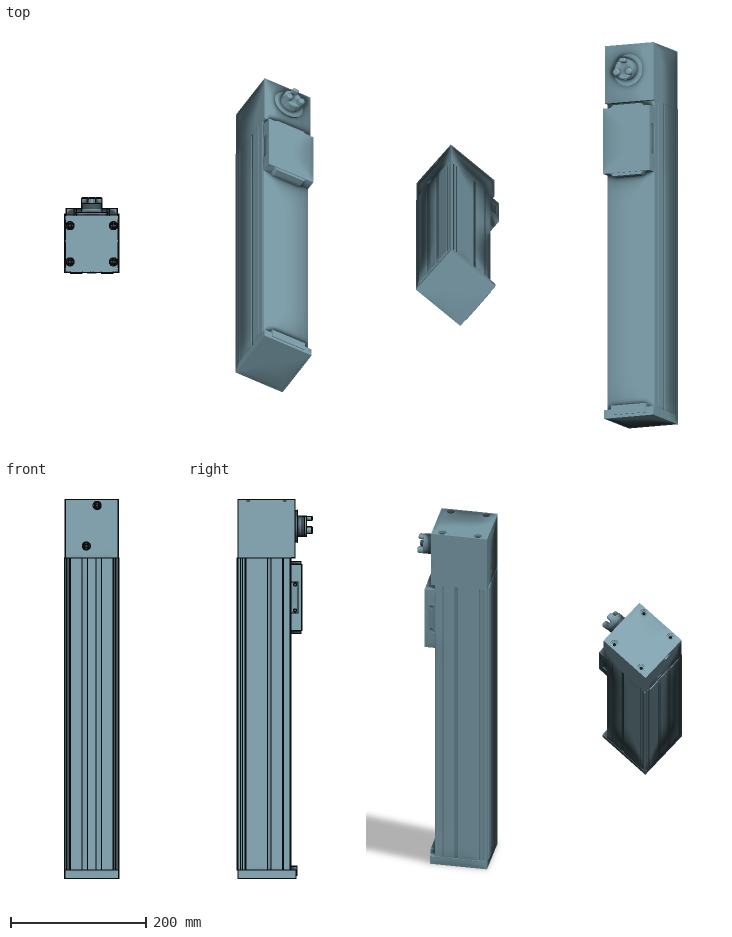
import cadquery as cq

total_height = 560.0
foot_thickness = 13.0
head_height = 86.5
head_bottom = total_height - head_height
profile_length = head_bottom - foot_thickness

plate_front = 1.5
profile_rear = 80.0
head_rear = 86.0
foot_rear = 87.5
foot_tab_rear = 89.0
box_rear = 96.0
connector_tip = 111.9

lip_half_width = 40.0
side_half_width = 39.0
lip_side_depth = 5.0
rear_corner_step = 1.3
centre_strip_half = 6.0
centre_strip_recess = 0.5
centre_recess_half = 14.3
centre_recess_depth = 1.0
front_slot_inner = 31.2
front_slot_outer = 37.0
front_slot_depth = 3.0
slot_rib_inner = 33.2
slot_rib_outer = 35.0
slot_rib_recess = 1.0
side_groove_depth = 1.5
side_grooves = [(lip_side_depth, 8.5), (11.8, 13.5), (45.4, 50.4), (67.4, 69.1)]

foot_width = 80.0
tab_width = 56.0
tab_top = foot_thickness + 5.4
tab_bottom = 4.5

head_width = 78.5
screw_x = 32.1
screw_front_y = 17.0
screw_rear_y = 70.5
screw_bores = [(12.0, 2.0), (8.5, 4.0), (4.92, 20.0)]
port_positions = [(8.0, 551.1), (-8.0, 491.2)]
port_bores = [(12.0, 4.0), (8.5, 6.0), (4.92, 15.0)]

box_width = 76.0
box_height = 98.0
box_centre_z = 415.2
cap_height = 4.3
cap_width = 53.0
cap_rear = 94.8
cap_chamfer = 4.0
side_pocket_length = 45.5
side_pocket_rear = 90.0
side_pocket_depth = 1.5
pocket_hole_diameter = 4.5
pocket_hole_depth = 5.0
pocket_hole_y = 86.0
pocket_hole_spacing = 38.0

connector_z = 520.4
flange_diameter = 47.5
flange_root_diameter = 45.5
flange_thickness = 3.6
barrel_diameter = 30.3
barrel_neck_diameter = 29.7
barrel_shoulder_y = 96.5
barrel_end_y = 103.0
rib_thickness = 0.4
rib_centre_y = 99.5
side_pin_diameter = 10.1
side_pin_x = 10.1
side_pin_drop = 5.8
key_pin_width = 10.7
key_pin_height = 6.2
key_pin_rise = 11.5
pin_tip_chamfer = 1.5


def block(x_size, y_start, y_end, z_start, z_end):
    """Box centred on X between the given Y and Z limits."""
    base = cq.Workplane("XY").box(x_size, y_end - y_start, z_end - z_start, centered=(True, False, False))
    return base.translate((0, y_start, z_start))


def rear_plane(y, x=0.0, z=0.0):
    """Workplane facing the rear; local X is -X and local Y is +Z."""
    return cq.Workplane(cq.Plane(origin=(x, y, z), xDir=(-1, 0, 0), normal=(0, 1, 0)))


def make_profile():
    half_section = [
        (0, centre_strip_recess),
        (centre_strip_half, centre_strip_recess),
        (centre_strip_half, centre_recess_depth),
        (centre_recess_half, centre_recess_depth),
        (centre_recess_half, 0),
        (front_slot_inner, 0),
        (front_slot_inner, front_slot_depth),
        (slot_rib_inner, front_slot_depth),
        (slot_rib_inner, slot_rib_recess),
        (slot_rib_outer, slot_rib_recess),
        (slot_rib_outer, front_slot_depth),
        (front_slot_outer, front_slot_depth),
        (front_slot_outer, plate_front),
        (lip_half_width, plate_front),
        (lip_half_width, lip_side_depth),
    ]
    for start, end in side_grooves:
        half_section += [
            (side_half_width, start),
            (side_half_width - side_groove_depth, start),
            (side_half_width - side_groove_depth, end),
            (side_half_width, end),
        ]
    half_section += [
        (side_half_width, profile_rear - rear_corner_step),
        (side_half_width - rear_corner_step, profile_rear - rear_corner_step),
        (side_half_width - rear_corner_step, profile_rear),
        (0, profile_rear),
    ]
    right_half = cq.Workplane("XY", origin=(0, 0, foot_thickness)).polyline(half_section).close()
    right_half = right_half.extrude(profile_length)
    return right_half.union(right_half.mirror("YZ")).clean()


def make_foot():
    plate = block(foot_width, plate_front, foot_rear, 0, foot_thickness)
    tab_base = block(tab_width, profile_rear, foot_rear, foot_thickness, tab_top)
    tab_face = block(tab_width, foot_rear, foot_tab_rear, tab_bottom, tab_top)
    return plate.union(tab_base).union(tab_face)


def stepped_bores(face, points, steps):
    """Cutter for equal stepped holes sunk into a face whose normal points outward."""
    holes = face.pushPoints(points)
    cutter = cq.Workplane("XY")
    for diameter, depth in steps:
        cutter = cutter.union(holes.circle(diameter / 2).extrude(-depth))
    return cutter


def make_head():
    head = block(head_width, plate_front, head_rear, head_bottom, total_height)
    screw_points = [(x, y) for x in (-screw_x, screw_x) for y in (screw_front_y, screw_rear_y)]
    top_face = cq.Workplane("XY", origin=(0, 0, total_height))
    front_face = cq.Workplane("XZ", origin=(0, plate_front, 0))
    head = head.cut(stepped_bores(top_face, screw_points, screw_bores))
    return head.cut(stepped_bores(front_face, port_positions, port_bores))


def make_side_pocket(side):
    """Cutter for the long pocket and its two holes in one side of the box."""
    face_x = side * box_width / 2
    pocket = cq.Workplane("XY").box(
        2 * side_pocket_depth, side_pocket_rear - profile_rear, side_pocket_length
    )
    pocket = pocket.translate((face_x, (profile_rear + side_pocket_rear) / 2, box_centre_z))
    holes = (
        cq.Workplane("YZ", origin=(face_x, pocket_hole_y, box_centre_z))
        .rarray(1, pocket_hole_spacing, 1, 2)
        .circle(pocket_hole_diameter / 2)
        .extrude(-side * pocket_hole_depth)
    )
    return pocket.union(holes)


def make_rear_box():
    half_height = box_height / 2
    cap_reach = half_height + cap_height
    box = block(box_width, profile_rear, box_rear, box_centre_z - half_height, box_centre_z + half_height)
    caps = block(cap_width, profile_rear, cap_rear, box_centre_z - cap_reach, box_centre_z + cap_reach)
    box = box.union(caps.edges("|Y").chamfer(cap_chamfer))
    for side in (-1, 1):
        box = box.cut(make_side_pocket(side))
    return box


def make_connector():
    flange_end = head_rear + flange_thickness
    rib_start = rib_centre_y - rib_thickness / 2
    rib_end = rib_centre_y + rib_thickness / 2
    end_rib_start = barrel_end_y - rib_thickness
    barrel_radius = barrel_diameter / 2
    neck_radius = barrel_neck_diameter / 2
    outline = [
        (0, head_rear),
        (flange_root_diameter / 2, head_rear),
        (flange_diameter / 2, flange_end),
        (barrel_radius, flange_end),
        (barrel_radius, barrel_shoulder_y),
        (neck_radius, barrel_shoulder_y),
        (neck_radius, rib_start),
        (barrel_radius, rib_start),
        (barrel_radius, rib_end),
        (neck_radius, rib_end),
        (neck_radius, end_rib_start),
        (barrel_radius, end_rib_start),
        (barrel_radius, barrel_end_y),
        (0, barrel_end_y),
    ]
    connector = cq.Workplane("XY").polyline(outline).close().revolve(360, (0, 0, 0), (0, 1, 0))
    connector = connector.translate((0, 0, connector_z))

    pin_length = connector_tip - barrel_end_y
    for x in (-side_pin_x, side_pin_x):
        pin = rear_plane(barrel_end_y, x, connector_z - side_pin_drop).circle(side_pin_diameter / 2)
        connector = connector.union(pin.extrude(pin_length).faces(">Y").chamfer(pin_tip_chamfer))
    key_pin = rear_plane(barrel_end_y, 0, connector_z + key_pin_rise).slot2D(key_pin_width, key_pin_height)
    return connector.union(key_pin.extrude(pin_length).faces(">Y").chamfer(pin_tip_chamfer))


profile = make_profile()
foot = make_foot()
head = make_head()
rear_box = make_rear_box()
connector = make_connector()

result = cq.Compound.makeCompound(
    [profile.val(), foot.val(), head.val(), rear_box.val(), connector.val()]
)